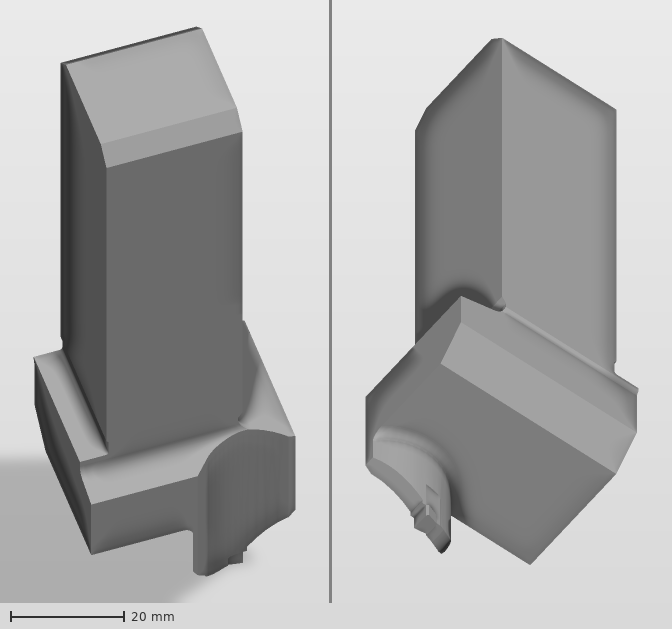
import cadquery as cq
import math


width = 31.4
depth = 39.2
height = 124.0

shank_width = 25.2
shank_front = 5.0
shank_back = 30.4
shank_chamfer = 3.1

groove_depth = 0.4
groove_top = 43.9
groove_foot_fillet = 0.5

undercut_depth = 0.9
undercut_top = 41.9
undercut_bottom = 40.5

head_bottom = 21.1
head_top = 40.0
head_inset = 0.5
inset_top = 39.4
inset_bottom = 38.3
head_chamfer = 6.0
side_shoulder_height = 35.3
back_shoulder_height = 35.1
shoulder_slope = math.radians(15)
side_shoulder_fillet = 2.1
back_shoulder_fillet = 3.1

scoop_wall_x = 28.1
scoop_arc_back = 38.0
scoop_deepest_x = 25.7
scoop_deepest_y = 30.8
scoop_arc_end_x = 28.3
scoop_arc_end_y = 23.0

blade_radius = 11.8
blade_left = 22.2
blade_centre_x = blade_left + blade_radius
blade_centre_y = 30.5
blade_root_fillet = 1.9
rake_top = 14.3
rake_foot_y = 31.0
rake_foot = 4.2
heel_top = 9.3
nose_front_y = 22.0
nose_front = 4.0
nose_mid_y = 23.2
nose_mid = 2.1
nose_end_y = 25.4
nose_end = 1.0

relief_back_x = 22.3
relief_front = 26.5
relief_back = 30.3
relief_top = 9.5
relief_corner = 0.7
relief_tilt = math.radians(10)

insert_left = 21.8
insert_right = 25.7
insert_front = 27.3
insert_back = 30.3
insert_top = 3.1
insert_heel = 0.6
insert_corner = 0.5
insert_edge_chamfer = 0.4


def shoulder_arc(wall, outer, outer_height, radius):
    """Start, middle and end of the fillet between an upright wall and the shoulder sloping to `outer`."""
    centre_u = wall + radius
    rise = (outer - centre_u) * math.tan(shoulder_slope)
    centre_z = outer_height + rise + radius / math.cos(shoulder_slope)
    end_angle = 1.5 * math.pi - shoulder_slope
    angles = [math.pi, (math.pi + end_angle) / 2, end_angle]
    return [(centre_u + radius * math.cos(a), centre_z + radius * math.sin(a)) for a in angles]


def make_front_outline():
    """Outline of shank and head in X and Z, run through the full depth."""
    start, middle, end = shoulder_arc(shank_width, width, side_shoulder_height, side_shoulder_fillet)
    return (
        cq.Workplane("XZ")
        .moveTo(0, inset_top)
        .lineTo(0, height - shank_chamfer)
        .lineTo(shank_chamfer, height)
        .lineTo(shank_width - shank_chamfer, height)
        .lineTo(shank_width, height - shank_chamfer)
        .lineTo(*start)
        .threePointArc(middle, end)
        .lineTo(width, side_shoulder_height)
        .lineTo(width, head_bottom)
        .lineTo(head_inset + head_chamfer, head_bottom)
        .lineTo(head_inset, head_bottom + head_chamfer)
        .lineTo(head_inset, inset_bottom)
        .close()
        .extrude(-depth)
    )


def make_side_outline():
    """Outline of shank and head in Y and Z, run through the full width."""
    groove_y = shank_front + groove_depth
    undercut_y = shank_back - undercut_depth
    start, middle, end = shoulder_arc(undercut_y, depth, back_shoulder_height, back_shoulder_fillet)
    outline = (
        cq.Workplane("YZ")
        .moveTo(0, head_bottom)
        .lineTo(0, head_top)
        .lineTo(groove_y - groove_foot_fillet, head_top)
        .radiusArc((groove_y, head_top + groove_foot_fillet), -groove_foot_fillet)
        .lineTo(groove_y, groove_top - groove_depth)
        .lineTo(shank_front, groove_top)
        .lineTo(shank_front, height)
        .lineTo(shank_back, height)
        .lineTo(shank_back, undercut_top)
        .lineTo(undercut_y, undercut_bottom)
        .lineTo(*start)
        .threePointArc(middle, end)
        .lineTo(depth, back_shoulder_height)
        .lineTo(depth, head_bottom)
        .close()
    )
    return outline.extrude(width)


def make_blade():
    """Round blade with a flared root, trimmed to its raked and rounded side profile."""
    root_z = head_bottom - blade_root_fillet
    heel_front = blade_centre_y - blade_radius
    round_bar = (
        cq.Workplane("XZ")
        .moveTo(0, 0)
        .lineTo(blade_radius, 0)
        .lineTo(blade_radius, root_z)
        .radiusArc((blade_radius + blade_root_fillet, head_bottom), blade_root_fillet)
        .lineTo(0, head_bottom)
        .close()
        .revolve(360, (0, 0), (0, 1))
        .translate((blade_centre_x, blade_centre_y, 0))
    )
    side_profile = (
        cq.Workplane("YZ")
        .moveTo(0, head_bottom)
        .lineTo(0, root_z)
        .lineTo(heel_front, root_z)
        .lineTo(heel_front, heel_top)
        .lineTo(nose_front_y, nose_front)
        .threePointArc((nose_mid_y, nose_mid), (nose_end_y, nose_end))
        .lineTo(insert_back, insert_heel)
        .lineTo(insert_back, insert_top)
        .lineTo(rake_foot_y, insert_top)
        .lineTo(rake_foot_y, rake_foot)
        .lineTo(depth, rake_top)
        .lineTo(depth, head_bottom)
        .close()
        .extrude(width)
    )
    return round_bar.intersect(side_profile)


def make_scoop():
    """Clearance beside the blade, as tall as the part."""
    flat_run = width - scoop_arc_end_x
    return (
        cq.Workplane("XY")
        .moveTo(width, depth)
        .lineTo(scoop_wall_x, depth)
        .lineTo(scoop_wall_x, scoop_arc_back)
        .threePointArc((scoop_deepest_x, scoop_deepest_y), (scoop_arc_end_x, scoop_arc_end_y))
        .lineTo(width, scoop_arc_end_y - flat_run)
        .close()
        .extrude(height)
    )


def relief_floor_x(y):
    """X of the tilted relief floor at a given Y."""
    return relief_back_x + (relief_back - y) * math.tan(relief_tilt)


def make_relief():
    """Tilted flat on the outer side of the blade, open at the tip."""
    plan = [
        (0, relief_back),
        (relief_back_x, relief_back),
        (relief_floor_x(relief_front), relief_front),
        (0, relief_front),
    ]
    block = cq.Workplane("XY").polyline(plan).close().extrude(relief_top)
    return block.edges("|X and >Z and <Y").fillet(relief_corner)


def make_seat():
    """Insert's outline in Y and Z, run right across the blade."""
    return (
        cq.Workplane("YZ")
        .moveTo(insert_back, 0)
        .lineTo(insert_back, insert_top)
        .lineTo(insert_front + insert_corner, insert_top)
        .radiusArc((insert_front, insert_top - insert_corner), -insert_corner)
        .lineTo(insert_front, insert_heel)
        .close()
        .extrude(width)
    )


def make_insert():
    """Cutting insert: its outer side tapers from the cutting edge down to the relief floor."""
    plan = [
        (insert_right, insert_back),
        (insert_left + insert_edge_chamfer, insert_back),
        (insert_left, insert_back - insert_edge_chamfer),
        (relief_floor_x(insert_front), insert_front),
        (insert_right, insert_front),
    ]
    return cq.Workplane("XY").polyline(plan).close().extrude(insert_top).intersect(make_seat())


def make_holder():
    """Shank, head and blade in one piece, with the insert's seat cut out."""
    body = make_front_outline().intersect(make_side_outline()).union(make_blade())
    return body.cut(make_scoop()).cut(make_relief()).cut(make_seat())


holder = make_holder()
insert = make_insert()
result = cq.Compound.makeCompound([holder.val(), insert.val()])